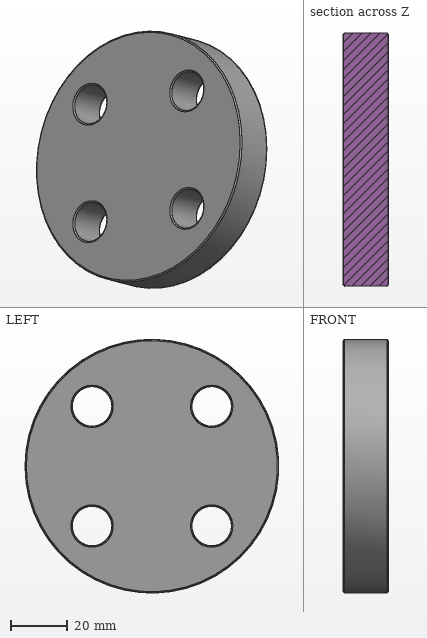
import cadquery as cq

flange_diameter = 90.0
flange_thickness = 16.0
bolt_circle_diameter = 60.0
bolt_hole_diameter = 14.0
bolt_hole_count = 4
first_hole_angle = 45.0
full_turn = 360.0
edge_chamfer = 0.5


def make_disc():
    """Solid disc centred on the origin, its axis along X."""
    return (
        cq.Workplane("YZ", origin=(-flange_thickness / 2, 0, 0))
        .circle(flange_diameter / 2)
        .extrude(flange_thickness)
    )


def drill_bolt_holes(disc):
    """Cut the evenly spaced through holes on the bolt circle."""
    return (
        disc.faces(">X")
        .workplane(origin=(0, 0, 0))
        .polarArray(bolt_circle_diameter / 2, first_hole_angle, full_turn, bolt_hole_count)
        .hole(bolt_hole_diameter)
    )


def break_edges(flange):
    """Chamfer every circular edge of the two flat faces."""
    return flange.faces("<X or >X").edges().chamfer(edge_chamfer)


result = break_edges(drill_bolt_holes(make_disc()))